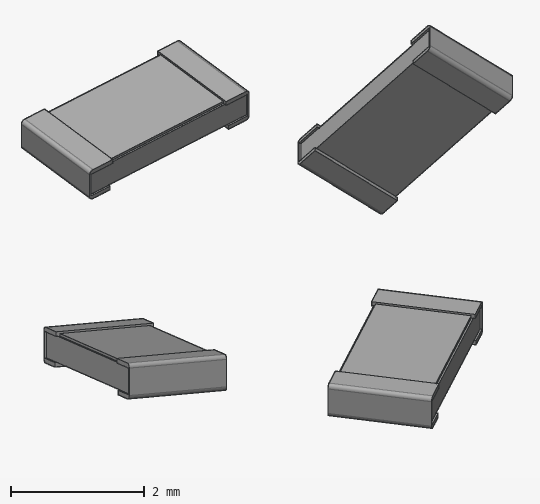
import cadquery as cq

width = 1.6
length = 3.1
height = 0.55

end_wall = 0.03
flange_thickness = 0.07
top_flange = 0.45
bottom_flange = 0.4
corner_radius = 0.065

side_step = 0.03
coating_drop = 0.03

body_width = width - 2 * side_step
body_length = length - 2 * end_wall
body_height = height - 2 * flange_thickness
coating_width = body_width - 2 * side_step
coating_length = length - 2 * top_flange
coating_thickness = flange_thickness - coating_drop


def make_terminal():
    """Cap on the -Y end, with its two outer corners rounded."""
    outer_y = -length / 2
    inner_y = outer_y + end_wall
    top_z = height / 2
    inner_z = body_height / 2
    cap = (
        cq.Workplane("YZ")
        .polyline([
            (outer_y, -top_z),
            (outer_y + bottom_flange, -top_z),
            (outer_y + bottom_flange, -inner_z),
            (inner_y, -inner_z),
            (inner_y, inner_z),
            (outer_y + top_flange, inner_z),
            (outer_y + top_flange, top_z),
            (outer_y, top_z),
        ])
        .close()
        .extrude(width / 2, both=True)
    )
    return cap.faces("<Y").edges("|X").fillet(corner_radius)


body = cq.Workplane("XY").box(body_width, body_length, body_height)

coating = (
    cq.Workplane("XY")
    .workplane(offset=body_height / 2)
    .rect(coating_width, coating_length)
    .extrude(coating_thickness)
)

terminal = make_terminal()
result = body.union(coating).union(terminal).union(terminal.mirror("XZ"))